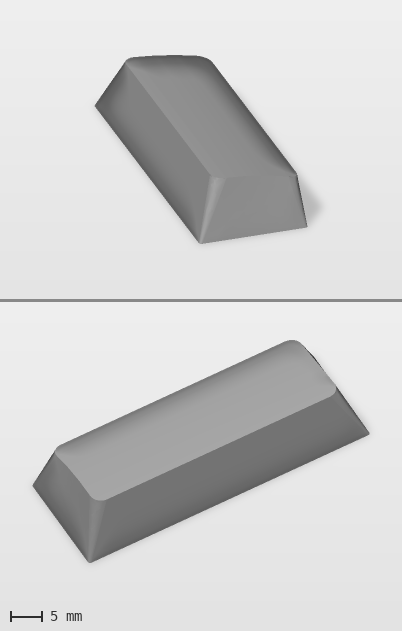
import cadquery as cq
import math

length = 51.6
width = 18.2
base_corner_radius = 0.4

end_inset = 3.3
front_inset = 3.55
back_inset = 0.15
top_corner_radius = 2.0

front_height = 9.3
back_height = 7.2

wall_extension = 1.15

front_edge_y = -width / 2 + front_inset
back_edge_y = width / 2 - back_inset
crown_run = back_edge_y - front_edge_y
crown_drop = front_height - back_height
crown_radius = (crown_run**2 + crown_drop**2) / (2 * crown_drop)


def rounded_outline(plane, size_x, size_y, radius):
    """Closed rectangular wire with rounded corners, centred on the plane's origin."""
    depth = 2 * radius
    block = cq.Workplane(plane).rect(size_x, size_y).extrude(-depth)
    block = block.edges(cq.ParallelDirSelector(plane.zDir)).fillet(radius)
    return block.faces(cq.DirectionMinMaxSelector(plane.zDir)).val().outerWire()


def tapered_body():
    """Ruled loft from the flat base to a sloping rim above the crown."""
    rim_front_y = -width / 2 + front_inset * wall_extension
    rim_back_y = width / 2 - back_inset * wall_extension
    rim_front_z = front_height * wall_extension
    rim_back_z = back_height * wall_extension
    run = rim_back_y - rim_front_y
    rise = rim_back_z - rim_front_z

    rim_plane = cq.Plane(
        origin=(0, (rim_front_y + rim_back_y) / 2, (rim_front_z + rim_back_z) / 2),
        xDir=(1, 0, 0),
        normal=(0, -rise, run),
    )
    rim_length = length - 2 * end_inset * wall_extension
    rim_width = math.hypot(run, rise)
    rim_radius = base_corner_radius + (top_corner_radius - base_corner_radius) * wall_extension

    base = rounded_outline(cq.Plane.XY(), length, width, base_corner_radius)
    rim = rounded_outline(rim_plane, rim_length, rim_width, rim_radius)
    return cq.Workplane(cq.Solid.makeLoft([base, rim], ruled=True))


def crown_cylinder():
    """Cylinder along X whose upper side forms the crowned top."""
    return (
        cq.Workplane("YZ")
        .center(front_edge_y, front_height - crown_radius)
        .circle(crown_radius)
        .extrude(length / 2, both=True)
    )


result = tapered_body().intersect(crown_cylinder())